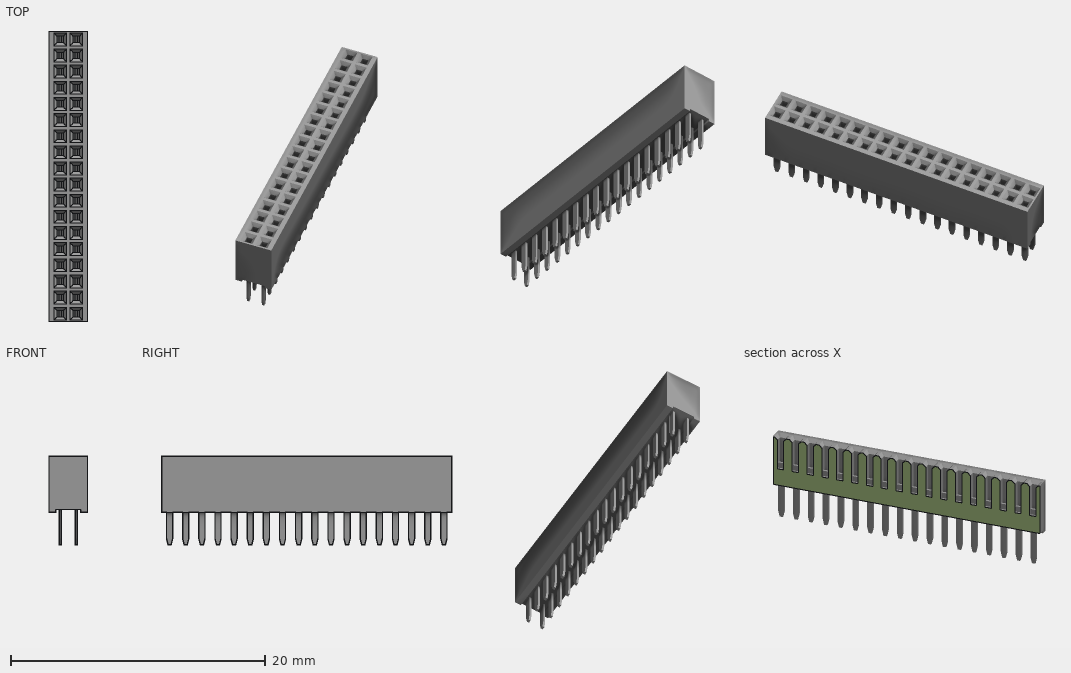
import cadquery as cq

length = 22.85
width = 3.05
total_height = 7.0
housing_height = 4.43
foot_width = 0.55
foot_height = 0.23

rows = 2
contacts_per_row = 18
pitch = length / contacts_per_row

funnel_size = 1.0
hole_size = 0.5
funnel_depth = 0.25
socket_depth = 2.75

pin_thickness = 0.18
pin_width = hole_size
tip_width = pin_width / 2
tip_length = 0.5
pin_rise = 0.45

housing_top = total_height
housing_bottom = housing_top - housing_height
socket_floor = housing_top - socket_depth
pin_top = socket_floor + pin_rise

contact_positions = [
    ((row - (rows - 1) / 2) * pitch, (index - (contacts_per_row - 1) / 2) * pitch)
    for row in range(rows)
    for index in range(contacts_per_row)
]


def at_contacts(shape):
    """Repeat a shape at every contact position."""
    return (
        cq.Workplane("XY")
        .pushPoints(contact_positions)
        .eachpoint(lambda location: shape.val().moved(location))
    )


def make_housing():
    """Block with a channel along its underside, leaving a foot along each long side."""
    block = cq.Workplane("XY").box(width, length, housing_height, centered=(True, True, False))
    channel = cq.Workplane("XY").box(
        width - 2 * foot_width, length, foot_height, centered=(True, True, False)
    )
    return block.cut(channel).translate((0, 0, housing_bottom))


def make_socket():
    """Funnel and hole, to be removed from the housing."""
    funnel = (
        cq.Workplane("XY", origin=(0, 0, housing_top - funnel_depth))
        .rect(hole_size, hole_size)
        .workplane(offset=funnel_depth)
        .rect(funnel_size, funnel_size)
        .loft(ruled=True)
    )
    hole = cq.Workplane("XY", origin=(0, 0, socket_floor)).box(
        hole_size, hole_size, socket_depth - funnel_depth, centered=(True, True, False)
    )
    return funnel.union(hole)


def make_pin():
    """Flat blade, narrowed along Y towards its lower end."""
    return (
        cq.Workplane("YZ")
        .moveTo(-tip_width / 2, 0)
        .lineTo(tip_width / 2, 0)
        .lineTo(pin_width / 2, tip_length)
        .lineTo(pin_width / 2, pin_top)
        .lineTo(-pin_width / 2, pin_top)
        .lineTo(-pin_width / 2, tip_length)
        .close()
        .extrude(pin_thickness / 2, both=True)
    )


result = make_housing().cut(at_contacts(make_socket())).union(at_contacts(make_pin()))